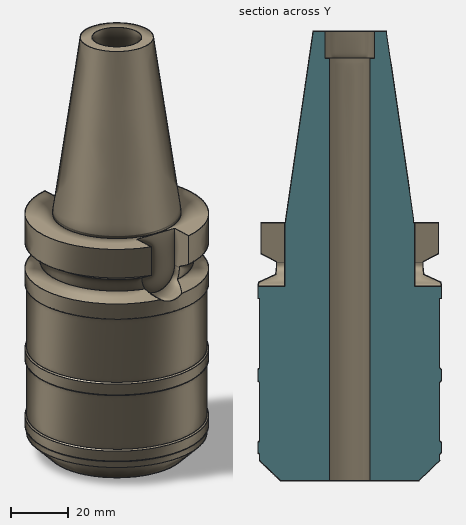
import cadquery as cq

total_height = 155.4
gauge_z = 90.0
flange_top = 89.2
flange_bottom = 78.5
neck_top = 75.7
neck_bottom = 71.3
collar_top = 68.7
collar_bottom = 63.0
nose_chamfer_top = 7.0

outer_radius = 31.78
body_radius = 31.2
neck_radius = 26.5
gauge_radius = 22.2
nose_radius = 24.0
taper_ratio = 7 / 24
taper_top_radius = gauge_radius - (total_height - gauge_z) * taper_ratio / 2

bands = [(9.2, 13.8), (34.0, 39.0)]
band_edge = 0.5

slot_width = 16.2
slot_floor_x = 22.5
slot_bottom = 67.3

bore_radius = 7.0
counterbore_radius = 8.5
counterbore_depth = 9.3


def turned_body():
    """Solid of revolution: nose, body, collar, V-groove, flange and taper."""
    profile = [(0, 0), (nose_radius, 0), (body_radius, nose_chamfer_top)]
    for bottom, top in bands:
        profile += [
            (body_radius, bottom),
            (outer_radius, bottom + band_edge),
            (outer_radius, top - band_edge),
            (body_radius, top),
        ]
    profile += [
        (body_radius, collar_bottom),
        (outer_radius, collar_bottom),
        (outer_radius, collar_top),
        (neck_radius, neck_bottom),
        (neck_radius, neck_top),
        (outer_radius, flange_bottom),
        (outer_radius, flange_top),
        (gauge_radius, flange_top),
        (gauge_radius, gauge_z),
        (taper_top_radius, total_height),
        (0, total_height),
    ]
    return cq.Workplane("XZ").polyline(profile).close().revolve(360, (0, 0), (0, 1))


def drive_slot(side):
    """Round-bottomed slot cutter, open upward; side is -1 or +1 along X."""
    half_width = slot_width / 2
    arc_center_z = slot_bottom + half_width
    return (
        cq.Workplane("YZ", origin=(side * slot_floor_x, 0, 0))
        .moveTo(-half_width, flange_top)
        .lineTo(-half_width, arc_center_z)
        .threePointArc((0, slot_bottom), (half_width, arc_center_z))
        .lineTo(half_width, flange_top)
        .close()
        .extrude(side * outer_radius)
    )


result = turned_body()
for side in (-1, 1):
    result = result.cut(drive_slot(side))

result = result.faces(">Z").workplane().cboreHole(
    2 * bore_radius, 2 * counterbore_radius, counterbore_depth
)